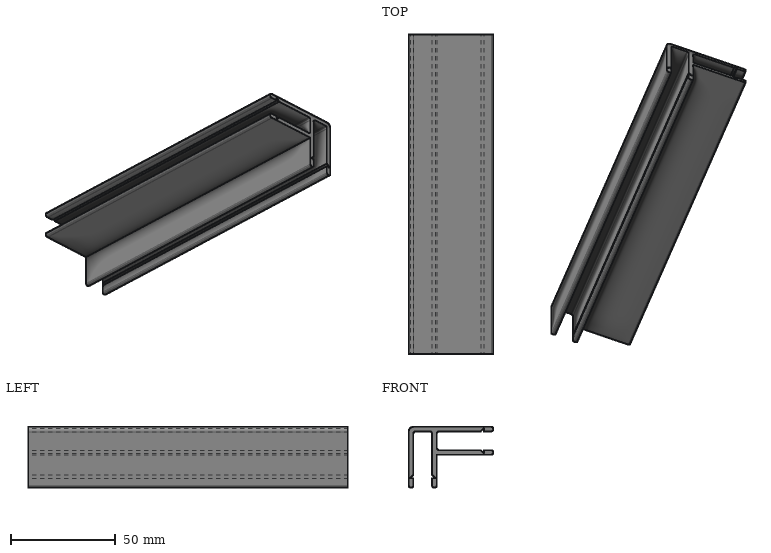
import cadquery as cq

length = 152.4
width = 40.4
height = 29.1
wall = 2.3
mouth = 8.8
body = mouth + 2 * wall

outer_radius = 2.3
root_radius = 1.0
tip_radius = 1.0

notch_from_tip = 4.5
notch_length = 1.5
notch_depth = 1.5


def bar(x_min, x_max, z_min, z_max):
    """Rectangular bar running the full length along Y."""
    return cq.Workplane("XY").box(
        x_max - x_min, length, z_max - z_min, centered=False
    ).translate((x_min, 0, z_min))


def round_edges(solid, radius, points):
    """Fillet the lengthwise edges that pass through the given (x, z) points."""
    reach = 0.08
    for x, z in points:
        picker = cq.selectors.BoxSelector(
            (x - reach, length / 2 - reach, z - reach),
            (x + reach, length / 2 + reach, z + reach),
        )
        solid = solid.edges("|Y").edges(picker).fillet(radius)
    return solid


def notch(square_base, sloping_base, bottom):
    """Triangular groove cutter running the full length along Y."""
    section = cq.Workplane("XZ").polyline([square_base, sloping_base, bottom]).close()
    return section.extrude(-length)


profile = bar(0, width, -wall, 0)
profile = profile.union(bar(0, wall, -height, 0))
profile = profile.union(bar(body - wall, body, -height, 0))
profile = profile.union(bar(body - wall, width, -body, wall - body))

profile = round_edges(profile, outer_radius, [(0, 0)])
roots = [(wall, -wall), (body - wall, -wall), (body, -wall), (body, wall - body)]
profile = round_edges(profile, root_radius, roots)
wall_faces = [0, wall, body - wall, body]
profile = round_edges(profile, tip_radius, [(face, -height) for face in wall_faces])
profile = round_edges(profile, tip_radius, [(width, -face) for face in wall_faces])

for face, inward in [(wall, -1), (body - wall, 1)]:
    bottom = face + inward * notch_depth
    square_z = notch_from_tip - height
    profile = profile.cut(
        notch((face, square_z), (face, square_z + notch_length), (bottom, square_z))
    )
    square_x = width - notch_from_tip
    profile = profile.cut(
        notch((square_x, -face), (square_x - notch_length, -face), (square_x, -bottom))
    )

result = profile